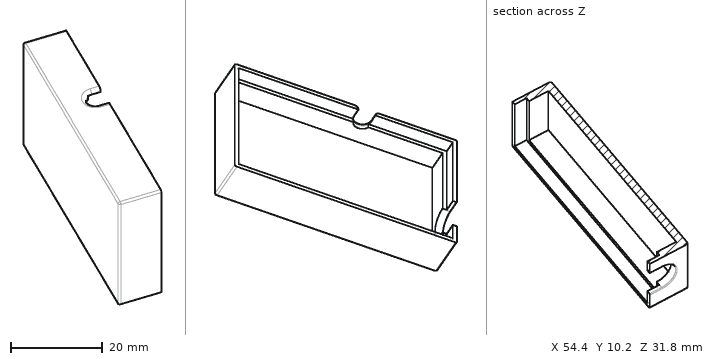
import cadquery as cq

length = 54.4
depth = 10.2
height = 31.75
edge_radius = 0.5

wall = 2.0
rim_wall = wall / 2
ledge_depth = 3.1

top_notch_x = -5.15
top_notch_radius = 2.05
top_notch_round = rim_wall
top_notch_center_depth = 2.25

side_notch_z = 8.85 - height / 2
side_notch_radius = 3.7
side_notch_round = 0.2
side_notch_center_depth = 3.2

open_y = depth / 2


def cavity(wall_thickness, cavity_depth):
    """Rectangular pocket sunk from the open face, inset evenly from the outer walls."""
    return (
        cq.Workplane("XY")
        .box(length - 2 * wall_thickness, cavity_depth, height - 2 * wall_thickness)
        .translate((0, open_y - cavity_depth / 2, 0))
    )


def notch(radius, center_depth, mouth_round, wall_depth):
    """Notch cutter centered on x = 0, its mouth in the XY plane, cutting towards -Z.

    The mouth widens by a quarter-round that is tangent to the outer face.
    """
    center_y = open_y - center_depth
    mouth_radius = radius + mouth_round

    section = (
        cq.Workplane("XZ")
        .moveTo(0, -wall_depth)
        .lineTo(radius, -wall_depth)
        .lineTo(radius, -mouth_round)
        .radiusArc((mouth_radius, 0), mouth_round)
        .lineTo(0, 0)
        .close()
    )
    outline = section.val()
    round_end = cq.Workplane("XZ").add(outline).toPending().revolve(360, (0, 0, 0), (0, 1, 0))
    half_channel = cq.Workplane("XZ").add(outline).toPending().extrude(-center_depth)
    channel = half_channel.union(half_channel.mirror("YZ"))
    return round_end.union(channel).translate((0, center_y, 0))


body = (
    cq.Workplane("XY")
    .box(length, depth, height)
    .edges("|Y or <Y")
    .fillet(edge_radius)
)

body = body.cut(cavity(wall, depth - wall))
body = body.cut(cavity(rim_wall, ledge_depth))

top_notch = notch(top_notch_radius, top_notch_center_depth, top_notch_round, wall)
body = body.cut(top_notch.translate((top_notch_x, 0, height / 2)))

side_notch = notch(side_notch_radius, side_notch_center_depth, side_notch_round, wall)
side_notch = side_notch.rotate((0, 0, 0), (0, 1, 0), -90)
result = body.cut(side_notch.translate((-length / 2, 0, side_notch_z)))